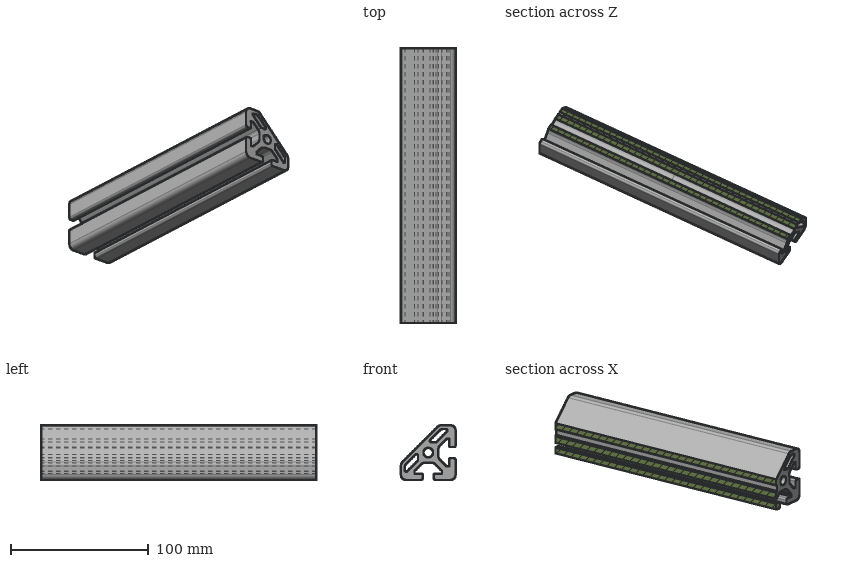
import cadquery as cq
import math

length = 200.0
side = 40.0
half = side / 2
slant_offset = 12.0
corner_radius = 4.0

bore_diameter = 6.8

slot_opening = 7.8
slot_width = 19.8
lip_thickness = 4.8
slot_side_height = 1.8
slot_depth = 12.5
slot_slope_offset = 3.5
slot_floor_radius = 4.0
lip_outer_radius = 1.5
lip_inner_radius = 1.2

pocket_wall = 3.0
pocket_inner_offset = 1.8
pocket_bottom = 7.5
pocket_tip_radius = 1.0
pocket_bend_radius = 3.0


def prism(points):
    """Extrude a closed XZ outline over the full length, centred on Y."""
    return cq.Workplane("XZ").polyline(points).close().extrude(length / 2, both=True)


def edge_at(x, z):
    """Selector for the lengthwise edge passing through (x, z)."""
    return cq.selectors.NearestToPointSelector((x, 0, z))


def mirror_point(x, z):
    """Reflect a profile point about the symmetry line z = -x."""
    return -z, -x


def round_edges(solid, points, radius):
    for x, z in points:
        solid = solid.edges("|Y").edges(edge_at(x, z)).fillet(radius)
    return solid


def body():
    slant_end = half - slant_offset
    outline = [
        (-half, -half),
        (half, -half),
        (half, half),
        (slant_end, half),
        (-half, -slant_end),
    ]
    return prism(outline).edges("|Y").fillet(corner_radius)


def slot_outline():
    """T-slot opening through the bottom face."""
    lip_top = -half + lip_thickness
    slope_start = lip_top + slot_side_height
    floor = -half + slot_depth
    floor_half = -floor - slot_slope_offset
    right = [
        (slot_opening / 2, -half),
        (slot_opening / 2, lip_top),
        (slot_width / 2, lip_top),
        (slot_width / 2, slope_start),
        (floor_half, floor),
    ]
    left = [(-x, z) for x, z in reversed(right)]
    return right + left


def pocket_outline():
    """Slanted hollow between the slanted face and the side slot."""
    top = half - pocket_wall
    outer_offset = slant_offset - pocket_wall * math.sqrt(2)
    return [
        (pocket_bottom - outer_offset, pocket_bottom),
        (pocket_bottom - pocket_inner_offset, pocket_bottom),
        (top - pocket_inner_offset, top),
        (top - outer_offset, top),
    ]


slot = slot_outline()
pocket = pocket_outline()
result = body()

for place in (lambda x, z: (x, z), mirror_point):
    slot_points = [place(x, z) for x, z in slot]
    floor_corners = slot_points[4:6]
    slot_cutter = round_edges(prism(slot_points), floor_corners, slot_floor_radius)
    result = result.cut(slot_cutter)
    result = round_edges(result, [slot_points[0], slot_points[-1]], lip_outer_radius)
    result = round_edges(result, [slot_points[1], slot_points[-2]], lip_inner_radius)

    pocket_points = [place(x, z) for x, z in pocket]
    pocket_cutter = prism(pocket_points)
    pocket_cutter = round_edges(pocket_cutter, [pocket_points[0], pocket_points[2]], pocket_tip_radius)
    pocket_cutter = round_edges(pocket_cutter, pocket_points[3:], pocket_bend_radius)
    result = result.cut(pocket_cutter)

bore = cq.Workplane("XZ").circle(bore_diameter / 2).extrude(length / 2, both=True)
result = result.cut(bore)